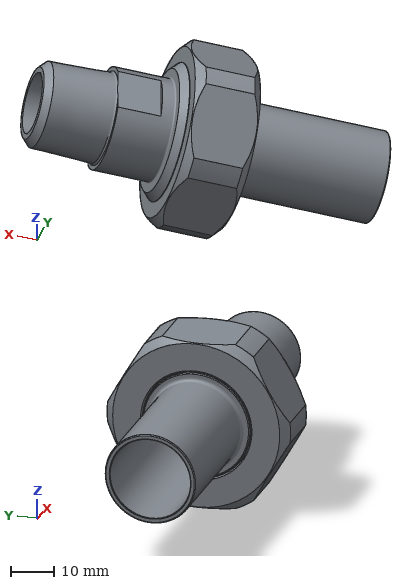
import cadquery as cq
import math

TOTAL_LENGTH = 84.0

NUT_START = 35.0
NUT_LENGTH = 16.0
NUT_END = NUT_START + NUT_LENGTH
NUT_ACROSS_FLATS = 41.0
NUT_TURN = 30
NUT_CORNER_DIAMETER = 44.7
NUT_CHAMFER = 2.0
NUT_BORE = 26.5
NUT_LIP_LENGTH = 3.4
NUT_BORE_CHAMFER = 0.3
UNION_THREAD_DIAMETER = 33.1

PIPE_DIAMETER = 22.0
PIPE_BORE = 19.6
PIPE_END_CHAMFER = 0.25
BORE_EDGE_CHAMFER = 0.2
COLLAR_DIAMETER = 26.0
COLLAR_START = 34.95
COLLAR_FILLET = 0.8
COLLAR_CHAMFER = 0.25
FLANGE_DIAMETER = 30.3
FLANGE_START = NUT_START + NUT_LIP_LENGTH
FLANGE_LENGTH = 3.4
JOINT = FLANGE_START + FLANGE_LENGTH

BODY_BORE = 14.5
UNION_THREAD_END = 52.9
UNION_CHAMFER_DIAMETER = 29.5
UNION_CHAMFER_LENGTH = (UNION_THREAD_DIAMETER - UNION_CHAMFER_DIAMETER) / 2
NECK_DIAMETER = 24.5
NECK_FILLET = 0.4
NECK_END = 66.8
FLAT_START = 56.3
WRENCH_FLATS = 22.0
SHOULDER_FILLET = 0.4
TAPER_START = NECK_END + SHOULDER_FILLET
TAPER_LARGE_DIAMETER = 21.7
TAPER_SMALL_DIAMETER = 20.7
TAPER_END_CHAMFER = 1.8


def disc(start, end, diameter):
    """Solid cylinder along X between two positions."""
    return cq.Workplane("YZ", origin=(start, 0, 0)).circle(diameter / 2).extrude(end - start)


def revolve_about_x(outline):
    """Full turn of a closed XY outline about the X axis."""
    return outline.close().revolve(360, (0, 0, 0), (1, 0, 0))


def quarter_arc_middle(corner_x, corner_radius, fillet, side):
    """Middle of a concave fillet at an inside corner; side is the X direction away from the wall."""
    inset = fillet * (1 - math.sqrt(0.5))
    return (corner_x + side * inset, corner_radius + inset)


def make_pipe_tail():
    pipe_radius = PIPE_DIAMETER / 2
    fillet_start = COLLAR_START - COLLAR_FILLET
    fillet_middle = quarter_arc_middle(COLLAR_START, pipe_radius, COLLAR_FILLET, -1)
    outline = (
        cq.Workplane("XY")
        .moveTo(BORE_EDGE_CHAMFER, PIPE_BORE / 2)
        .lineTo(0, PIPE_BORE / 2 + BORE_EDGE_CHAMFER)
        .lineTo(0, pipe_radius - PIPE_END_CHAMFER)
        .lineTo(PIPE_END_CHAMFER, pipe_radius)
        .lineTo(fillet_start, pipe_radius)
        .threePointArc(fillet_middle, (COLLAR_START, pipe_radius + COLLAR_FILLET))
        .lineTo(COLLAR_START, COLLAR_DIAMETER / 2 - COLLAR_CHAMFER)
        .lineTo(COLLAR_START + COLLAR_CHAMFER, COLLAR_DIAMETER / 2)
        .lineTo(FLANGE_START, COLLAR_DIAMETER / 2)
        .lineTo(FLANGE_START, FLANGE_DIAMETER / 2)
        .lineTo(JOINT, FLANGE_DIAMETER / 2)
        .lineTo(JOINT, PIPE_BORE / 2)
    )
    return revolve_about_x(outline)


def make_nut():
    hexagon = (
        cq.Workplane("YZ", origin=(NUT_START, 0, 0))
        .polygon(6, NUT_ACROSS_FLATS, circumscribed=True)
        .extrude(NUT_LENGTH)
        .rotate((0, 0, 0), (1, 0, 0), NUT_TURN)
    )
    corner_rounding = disc(NUT_START, NUT_END, NUT_CORNER_DIAMETER).edges().chamfer(NUT_CHAMFER)
    nut = hexagon.intersect(corner_rounding)
    nut = nut.cut(disc(NUT_START, NUT_END, NUT_BORE))
    nut = nut.cut(disc(FLANGE_START, NUT_END, UNION_THREAD_DIAMETER))
    bore_rim = cq.selectors.RadiusNthSelector(0)
    return nut.faces("<X").edges("%CIRCLE").edges(bore_rim).chamfer(NUT_BORE_CHAMFER)


def make_wrench_flats():
    """Blocks that trim the front and back of the neck down to the flats."""
    length = TAPER_START - FLAT_START
    middle = (FLAT_START + TAPER_START) / 2
    block = cq.Workplane("XY").box(length, NECK_DIAMETER, NECK_DIAMETER)
    offset = (WRENCH_FLATS + NECK_DIAMETER) / 2
    back = block.translate((middle, offset, 0))
    front = block.translate((middle, -offset, 0))
    return back.union(front)


def make_threaded_body():
    neck_radius = NECK_DIAMETER / 2
    taper_radius = TAPER_LARGE_DIAMETER / 2
    neck_start = UNION_THREAD_END + NECK_FILLET
    neck_arc = quarter_arc_middle(UNION_THREAD_END, neck_radius, NECK_FILLET, 1)
    shoulder_arc = quarter_arc_middle(NECK_END, taper_radius, SHOULDER_FILLET, 1)
    taper_end = TOTAL_LENGTH - TAPER_END_CHAMFER
    outline = (
        cq.Workplane("XY")
        .moveTo(JOINT + BORE_EDGE_CHAMFER, BODY_BORE / 2)
        .lineTo(JOINT, BODY_BORE / 2 + BORE_EDGE_CHAMFER)
        .lineTo(JOINT, UNION_THREAD_DIAMETER / 2)
        .lineTo(UNION_THREAD_END - UNION_CHAMFER_LENGTH, UNION_THREAD_DIAMETER / 2)
        .lineTo(UNION_THREAD_END, UNION_CHAMFER_DIAMETER / 2)
        .lineTo(UNION_THREAD_END, neck_radius + NECK_FILLET)
        .threePointArc(neck_arc, (neck_start, neck_radius))
        .lineTo(NECK_END, neck_radius)
        .lineTo(NECK_END, taper_radius + SHOULDER_FILLET)
        .threePointArc(shoulder_arc, (TAPER_START, taper_radius))
        .lineTo(taper_end, TAPER_SMALL_DIAMETER / 2)
        .lineTo(TOTAL_LENGTH, TAPER_SMALL_DIAMETER / 2 - TAPER_END_CHAMFER)
        .lineTo(TOTAL_LENGTH, BODY_BORE / 2)
    )
    return revolve_about_x(outline).cut(make_wrench_flats())


pipe_tail = make_pipe_tail()
nut = make_nut()
threaded_body = make_threaded_body()

result = cq.Compound.makeCompound([pipe_tail.val(), nut.val(), threaded_body.val()])